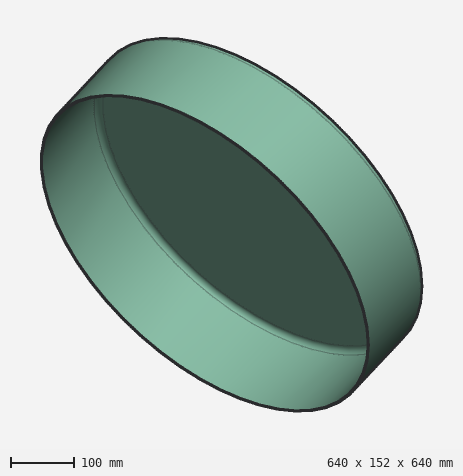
import cadquery as cq

outer_diameter = 640.0
wall = 2.0
depth = 152.0
outer_corner_radius = 12.0

inner_diameter = outer_diameter - 2 * wall
inner_corner_radius = outer_corner_radius - wall


def rounded_disc(diameter, length, corner_radius):
    """Cylinder from the open rim (Y = 0) toward +Y, with its far edge rounded."""
    disc = cq.Workplane("XZ").circle(diameter / 2).extrude(-length)
    return disc.faces(">Y").edges().fillet(corner_radius)


outer_body = rounded_disc(outer_diameter, depth, outer_corner_radius)
cavity = rounded_disc(inner_diameter, depth - wall, inner_corner_radius)

result = outer_body.cut(cavity)